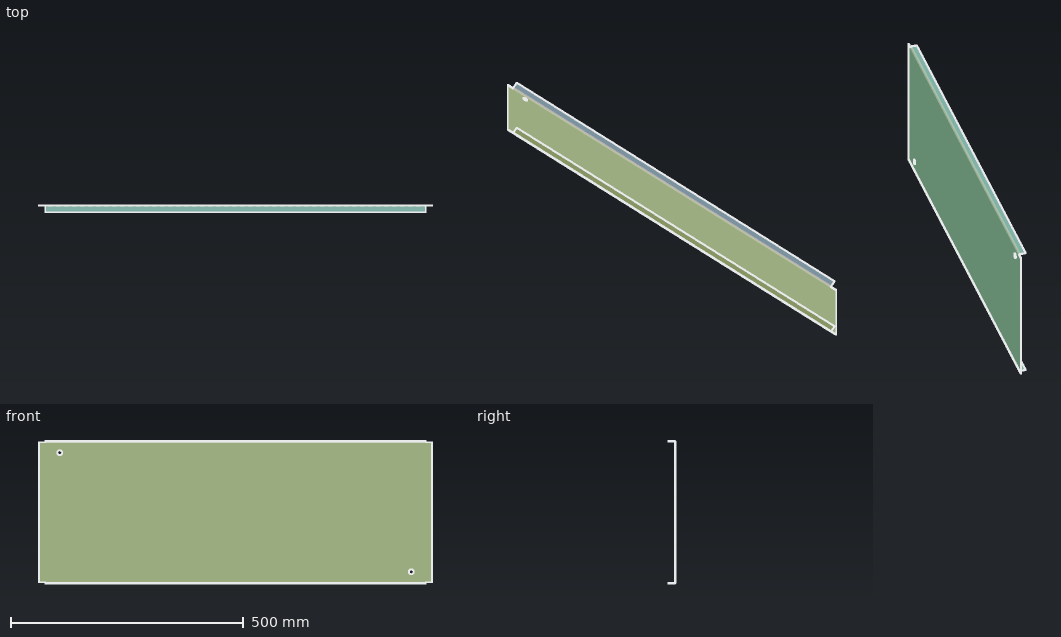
import cadquery as cq

length = 844.0
depth = 15.0
height = 306.0

sheet_thickness = 1.5
inner_bend_radius = 1.0
outer_bend_radius = inner_bend_radius + sheet_thickness

flange_end_inset = 13.5
flange_length = length - 2 * flange_end_inset
corner_trim = outer_bend_radius

hole_diameter = 10.0
hole_x = 377.0
hole_edge_distance = 25.0
hole_z = height / 2 - hole_edge_distance


def make_face():
    """Flat face of the panel, on the back side."""
    face_height = height - 2 * corner_trim
    face_y = (depth - sheet_thickness) / 2
    return cq.Workplane("XY").box(length, sheet_thickness, face_height).translate((0, face_y, 0))


def make_flanged_channel():
    """Middle stretch of the panel with both flanges folded to the front."""
    outer = cq.Workplane("XY").box(flange_length, depth, height).edges(">Y and |X").fillet(outer_bend_radius)
    hollow = cq.Workplane("XY").box(flange_length, depth, height - 2 * sheet_thickness)
    hollow = hollow.edges(">Y and |X").fillet(inner_bend_radius)
    return outer.cut(hollow.translate((0, -sheet_thickness, 0)))


def make_holes():
    """Cutters running through the full depth of the panel."""
    return (
        cq.Workplane("XZ")
        .pushPoints([(-hole_x, hole_z), (hole_x, -hole_z)])
        .circle(hole_diameter / 2)
        .extrude(depth, both=True)
    )


result = make_face().union(make_flanged_channel()).cut(make_holes()).clean()